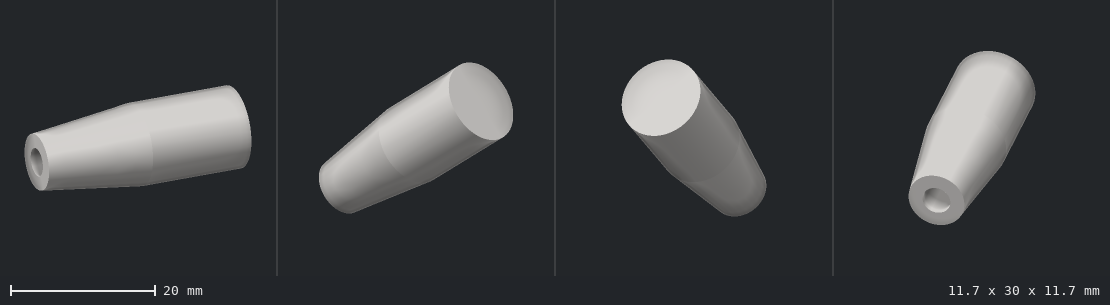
import cadquery as cq

total_length = 30.0
body_diameter = 11.67
tip_diameter = 8.0
bore_diameter = 4.0

taper_length = total_length / 2
bore_depth = taper_length


def make_handle():
    """Revolve the cylinder and its tapered nose about Y, with the tip at Y = 0."""
    return (
        cq.Workplane("XY")
        .moveTo(0, 0)
        .lineTo(tip_diameter / 2, 0)
        .lineTo(body_diameter / 2, taper_length)
        .lineTo(body_diameter / 2, total_length)
        .lineTo(0, total_length)
        .close()
        .revolve(360, (0, 0, 0), (0, 1, 0))
    )


def drill_bore(handle):
    """Cut the flat-bottomed bore into the tip face."""
    return handle.faces("<Y").workplane(centerOption="CenterOfMass").hole(bore_diameter, bore_depth)


result = drill_bore(make_handle())